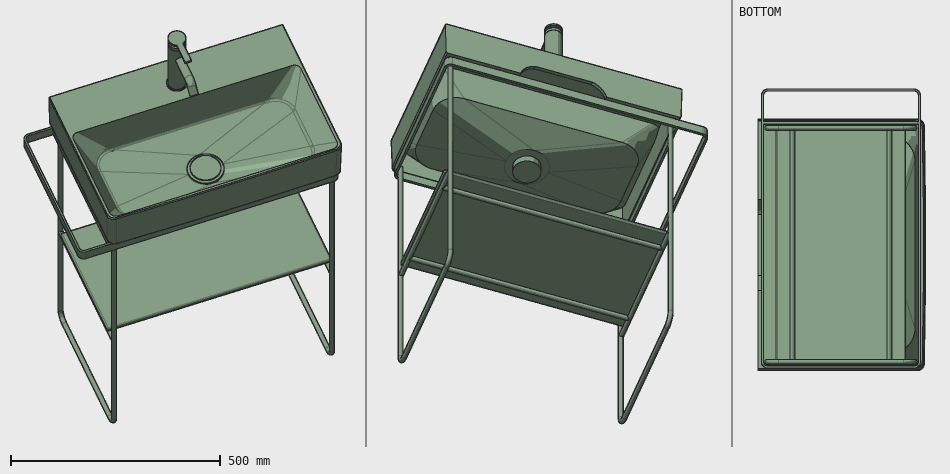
import cadquery as cq
import math


BASIN_DEPTH = 400.0
BASIN_WIDTH = 600.0
BASIN_TOP = 848.0
BASIN_BOTTOM = 740.0
FRONT_BOW = 3.0
FRONT_CORNER_RADIUS = 17.0
SIDE_DRAFT = 2.0
TOP_BEVEL_HEIGHT = 3.0
TOP_BEVEL_INSET = 2.0
FOOT_BEVEL_HEIGHT = 5.0
FOOT_BEVEL_INSET = 3.0
WALL = 8.0

BOWL_RIM = (123.0, 392.0, 582.0, 16.0, BASIN_TOP)
BOWL_SHOULDER = (152.0, 366.0, 500.0, 50.0, 779.0)
SHOULDER_RADIUS = 10.0
BOWL_FLOOR_Z = 738.0
BOWL_FLOOR = (214.0, 305.0, 90.0, 44.0, BOWL_FLOOR_Z)

NOTCH_TOP_HALF = 73.0
NOTCH_BASE_HALF = 109.0
NOTCH_HEIGHT = 41.0
NOTCH_SHOULDER_HALF = 92.0
NOTCH_SHOULDER_HEIGHT = 29.0

DRAIN_X = 259.0
DRAIN_TAIL_RADIUS = 34.0
DRAIN_TAIL_BOTTOM = 711.0
DRAIN_FLANGE_RADIUS = 44.0
DRAIN_COVER_RADIUS = 37.0
DRAIN_FLANGE_TOP = 741.0
DRAIN_COVER_TOP = 744.0

STAND_X = 198.0
RAIL_LENGTH_X = 379.0
RAIL_BACK_GAP = 6.0
RAIL_OVERHANG = 72.0
RAIL_HEIGHT = 27.0
RAIL_THICKNESS = 5.0
RAIL_CORNER_RADIUS = 15.0

TUBE_RADIUS = 6.0
LEG_SPAN_X = 351.0
LEG_SPAN_Y = 558.0
LEG_BEND_RADIUS = 27.0
LEG_FRAME_Y = (-LEG_SPAN_Y / 2, LEG_SPAN_Y / 2)

SHELF_DEPTH = 309.0
SHELF_WIDTH = 574.0
SHELF_TOP = 360.0
SHELF_THICKNESS = 10.0
SHELF_EDGE_RADIUS = 3.0
BAR_Z = 338.0
SUPPORT_BAR_SPACING = 232.0
SUPPORT_BAR_X = (STAND_X - SUPPORT_BAR_SPACING / 2, STAND_X + SUPPORT_BAR_SPACING / 2)

TAP_X = 72.0
TAP_RADIUS = 22.0
TAP_BASE_RADIUS = 25.0
TAP_BASE_HEIGHT = 3.0
TAP_TOP = 1002.0
SPOUT_RADIUS = 10.8
SPOUT_Z = 963.0
SPOUT_STRAIGHT_END = 151.0
SPOUT_BEND_RADIUS = 25.0
SPOUT_BEND_ANGLE = math.radians(45)
SPOUT_NOSE = 23.0
HANDLE_TOP = 1025.0
HANDLE_RING_TOP = 1012.0
HANDLE_NECK_RADIUS = 14.0
HANDLE_PLATE_THICKNESS = 6.0
LEVER_END = 147.0
LEVER_WIDTH = 16.0

SELECT_MARGIN = 1.0
ARC_MID = 1 - math.sqrt(0.5)


def basin_section(z, inset):
    """Outline of the basin at height z, drawn in on the front and both ends."""
    edge = BASIN_DEPTH - FRONT_BOW - inset
    half = BASIN_WIDTH / 2 - inset
    r = FRONT_CORNER_RADIUS
    return (
        cq.Workplane("XY", origin=(0, 0, z))
        .moveTo(0, -half)
        .lineTo(edge - r, -half)
        .threePointArc((edge - r * ARC_MID, -half + r * ARC_MID), (edge, -half + r))
        .threePointArc((edge + FRONT_BOW, 0), (edge, half - r))
        .threePointArc((edge - r * ARC_MID, half - r * ARC_MID), (edge - r, half))
        .lineTo(0, half)
        .close()
        .val()
    )


def bowl_wire(outline, grow):
    """One rounded outline of the bowl, enlarged by grow; below the rim it also drops by grow."""
    back, front, width, radius, z = outline
    drop = 0 if z == BASIN_TOP else grow
    plate = (
        cq.Workplane("XY", origin=((back + front) / 2, 0, z - drop))
        .rect(front - back + 2 * grow, width + 2 * grow)
        .extrude(10)
        .edges("|Z")
        .fillet(radius + grow)
    )
    return plate.faces("<Z").wires().val()


def bowl_shape(grow):
    """The hollow of the bowl, enlarged all round by grow: steep walls above a gently dished floor."""
    wires = [bowl_wire(outline, grow) for outline in (BOWL_RIM, BOWL_SHOULDER, BOWL_FLOOR)]
    return cq.Workplane(cq.Solid.makeLoft(wires, True))


def basin_block():
    sections = [
        basin_section(BASIN_BOTTOM, SIDE_DRAFT + FOOT_BEVEL_INSET),
        basin_section(BASIN_BOTTOM + FOOT_BEVEL_HEIGHT, SIDE_DRAFT),
        basin_section(BASIN_TOP - TOP_BEVEL_HEIGHT, 0),
        basin_section(BASIN_TOP, TOP_BEVEL_INSET),
    ]
    return cq.Workplane(cq.Solid.makeLoft(sections, True))


def underside_hollow():
    """Space inside the walls and under the deck, open at the bottom, before the bowl fills part of it."""
    inset = SIDE_DRAFT + FOOT_BEVEL_INSET + WALL
    front = BASIN_DEPTH - FRONT_BOW - inset
    return (
        cq.Workplane("XY", origin=((WALL + front) / 2, 0, BASIN_BOTTOM))
        .rect(front - WALL, BASIN_WIDTH - 2 * inset)
        .extrude(BASIN_TOP - WALL - BASIN_BOTTOM)
    )


def back_notch():
    return (
        cq.Workplane("YZ", origin=(0, 0, BASIN_BOTTOM))
        .moveTo(-NOTCH_BASE_HALF, 0)
        .threePointArc((-NOTCH_SHOULDER_HALF, NOTCH_SHOULDER_HEIGHT), (-NOTCH_TOP_HALF, NOTCH_HEIGHT))
        .lineTo(NOTCH_TOP_HALF, NOTCH_HEIGHT)
        .threePointArc((NOTCH_SHOULDER_HALF, NOTCH_SHOULDER_HEIGHT), (NOTCH_BASE_HALF, 0))
        .close()
        .extrude(WALL)
    )


def bowl_shell():
    """Outside of the bowl, kept within the plan of the basin's foot; its base hangs just below the walls."""
    base_z = BOWL_FLOOR_Z - WALL
    plan = basin_section(base_z, SIDE_DRAFT + FOOT_BEVEL_INSET)
    column = cq.Workplane("XY", origin=(0, 0, base_z)).add(plan).toPending().extrude(BASIN_TOP - base_z)
    return bowl_shape(WALL).intersect(column)


def bowl_hollow():
    """Inside of the bowl, rounded where the walls meet the floor."""
    z = BOWL_SHOULDER[-1]
    low_corner = (0, -BASIN_WIDTH, z - SELECT_MARGIN)
    high_corner = (BASIN_DEPTH, BASIN_WIDTH, z + SELECT_MARGIN)
    shoulder = cq.selectors.BoxSelector(low_corner, high_corner)
    return bowl_shape(0).edges(shoulder).fillet(SHOULDER_RADIUS)


def make_basin():
    drain_hole = cq.Workplane("XY", origin=(DRAIN_X, 0, 0)).circle(DRAIN_TAIL_RADIUS).extrude(BASIN_TOP)
    return (
        basin_block()
        .cut(underside_hollow())
        .union(bowl_shell())
        .cut(bowl_hollow())
        .cut(back_notch())
        .cut(drain_hole)
    )


def drain_disc(radius, bottom, top):
    return cq.Workplane("XY", origin=(DRAIN_X, 0, bottom)).circle(radius).extrude(top - bottom)


def make_drain():
    """Waste fitting: a tail through the bowl floor, under a flange with a raised cover."""
    tail = drain_disc(DRAIN_TAIL_RADIUS, DRAIN_TAIL_BOTTOM, BOWL_FLOOR_Z)
    flange = drain_disc(DRAIN_FLANGE_RADIUS, BOWL_FLOOR_Z, DRAIN_FLANGE_TOP)
    cover = drain_disc(DRAIN_COVER_RADIUS, BOWL_FLOOR_Z, DRAIN_COVER_TOP)
    return tail.union(flange).union(cover)


def make_rail():
    """Upright flat bar bent into a closed loop, with a cross member under the -Y end of the basin."""
    y_max = BASIN_WIDTH / 2 - RAIL_BACK_GAP
    y_min = -BASIN_WIDTH / 2 - RAIL_OVERHANG
    length_y = y_max - y_min
    at = cq.Workplane("XY", origin=(STAND_X, (y_max + y_min) / 2, BASIN_BOTTOM - RAIL_HEIGHT))
    outer = at.rect(RAIL_LENGTH_X, length_y).extrude(RAIL_HEIGHT).edges("|Z").fillet(RAIL_CORNER_RADIUS)
    inner = (
        at.rect(RAIL_LENGTH_X - 2 * RAIL_THICKNESS, length_y - 2 * RAIL_THICKNESS)
        .extrude(RAIL_HEIGHT)
        .edges("|Z")
        .fillet(RAIL_CORNER_RADIUS - RAIL_THICKNESS)
    )
    cross_member = (
        cq.Workplane("XY", origin=(STAND_X, RAIL_THICKNESS / 2 - y_max, BASIN_BOTTOM - RAIL_HEIGHT))
        .rect(RAIL_LENGTH_X - RAIL_THICKNESS, RAIL_THICKNESS)
        .extrude(RAIL_HEIGHT)
    )
    return outer.cut(inner).union(cross_member)


def make_cross_bar(y):
    start = STAND_X - LEG_SPAN_X / 2
    return cq.Workplane("YZ", origin=(start, y, BAR_Z)).circle(TUBE_RADIUS).extrude(LEG_SPAN_X)


def make_leg_frame(y):
    """U-shaped tube standing across the depth, with a bar between its two uprights."""
    half = LEG_SPAN_X / 2
    r = LEG_BEND_RADIUS
    low = TUBE_RADIUS
    path = (
        cq.Workplane("XZ", origin=(STAND_X, y, 0))
        .moveTo(-half, BASIN_BOTTOM)
        .lineTo(-half, low + r)
        .threePointArc((-half + r * ARC_MID, low + r * ARC_MID), (-half + r, low))
        .lineTo(half - r, low)
        .threePointArc((half - r * ARC_MID, low + r * ARC_MID), (half, low + r))
        .lineTo(half, BASIN_BOTTOM)
    )
    tube = cq.Workplane("XY", origin=(STAND_X - half, y, BASIN_BOTTOM)).circle(TUBE_RADIUS).sweep(path)
    return tube.union(make_cross_bar(y))


def make_support_bar(x):
    """Bar along Y under the shelf, its ends shaped to fit against the two cross bars."""
    bar = cq.Workplane("XZ", origin=(x, LEG_SPAN_Y / 2, BAR_Z)).circle(TUBE_RADIUS).extrude(LEG_SPAN_Y)
    for y in LEG_FRAME_Y:
        bar = bar.cut(make_cross_bar(y))
    return bar.solids(cq.selectors.NearestToPointSelector((x, 0, BAR_Z)))


def make_shelf():
    return (
        cq.Workplane("XY", origin=(STAND_X, 0, SHELF_TOP - SHELF_THICKNESS))
        .rect(SHELF_DEPTH, SHELF_WIDTH)
        .extrude(SHELF_THICKNESS)
        .edges()
        .fillet(SHELF_EDGE_RADIUS)
    )


def make_tap():
    """Round column on a base ring, with a spout that bends down towards the bowl."""
    at = cq.Workplane("XY", origin=(TAP_X, 0, BASIN_TOP))
    column = at.circle(TAP_RADIUS).extrude(TAP_TOP - BASIN_TOP)
    base = at.circle(TAP_BASE_RADIUS).extrude(TAP_BASE_HEIGHT)
    bend_x = SPOUT_STRAIGHT_END + SPOUT_BEND_RADIUS * math.sin(SPOUT_BEND_ANGLE)
    bend_z = SPOUT_Z - SPOUT_BEND_RADIUS * (1 - math.cos(SPOUT_BEND_ANGLE))
    tip_x = bend_x + SPOUT_NOSE * math.cos(SPOUT_BEND_ANGLE)
    tip_z = bend_z - SPOUT_NOSE * math.sin(SPOUT_BEND_ANGLE)
    path = (
        cq.Workplane("XZ")
        .moveTo(TAP_X, SPOUT_Z)
        .lineTo(SPOUT_STRAIGHT_END, SPOUT_Z)
        .tangentArcPoint((bend_x, bend_z), relative=False)
        .lineTo(tip_x, tip_z)
    )
    spout = cq.Workplane("YZ", origin=(TAP_X, 0, SPOUT_Z)).circle(SPOUT_RADIUS).sweep(path)
    return column.union(base).union(spout)


def make_handle():
    """Ring on top of the column, a narrower neck, and a flat disc with a lever."""
    at = cq.Workplane("XY", origin=(TAP_X, 0, TAP_TOP))
    plate_z = HANDLE_TOP - HANDLE_PLATE_THICKNESS
    ring = at.circle(TAP_RADIUS).extrude(HANDLE_RING_TOP - TAP_TOP)
    neck = at.circle(HANDLE_NECK_RADIUS).extrude(plate_z - TAP_TOP)
    disc = at.workplane(offset=plate_z - TAP_TOP).circle(TAP_RADIUS).extrude(HANDLE_PLATE_THICKNESS)
    lever = (
        cq.Workplane("XY", origin=((TAP_X + LEVER_END) / 2, 0, plate_z))
        .rect(LEVER_END - TAP_X, LEVER_WIDTH)
        .extrude(HANDLE_PLATE_THICKNESS)
    )
    return ring.union(neck).union(disc).union(lever)


basin = make_basin()
drain = make_drain()
rail = make_rail()
leg_frames = [make_leg_frame(y) for y in LEG_FRAME_Y]
support_bars = [make_support_bar(x) for x in SUPPORT_BAR_X]
shelf = make_shelf()
tap = make_tap()
handle = make_handle()

result = cq.Compound.makeCompound(
    [
        basin.val(),
        drain.val(),
        rail.val(),
        *[frame.val() for frame in leg_frames],
        *[bar.val() for bar in support_bars],
        shelf.val(),
        tap.val(),
        handle.val(),
    ]
)